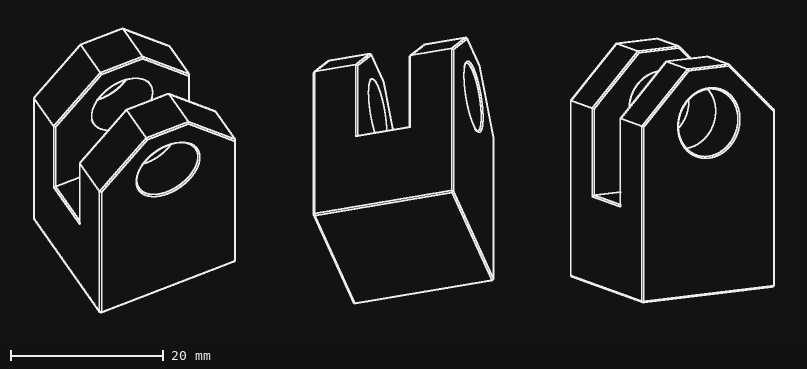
import cadquery as cq

width = 19.0
depth = 20.0
height = 30.5
edge_break = 0.2

shoulder = 6.9

slot_width = 7.0
slot_floor = 12.0

hole_diameter = 9.0
hole_height = 23.0


def lug_profile_block():
    """Block with its two upper corners cut at 45 degrees, extruded along X."""
    half_depth = depth / 2
    outline = [
        (-half_depth, 0),
        (half_depth, 0),
        (half_depth, height - shoulder),
        (half_depth - shoulder, height),
        (shoulder - half_depth, height),
        (-half_depth, height - shoulder),
    ]
    return cq.Workplane("YZ").polyline(outline).close().extrude(width / 2, both=True)


def lug_slot():
    """Slot open at the top and at both Y sides."""
    floor_plane = cq.Workplane("XY").workplane(offset=slot_floor)
    return floor_plane.rect(slot_width, depth).extrude(height - slot_floor)


def cross_hole():
    """Cylinder along X that passes through both lugs."""
    return (
        cq.Workplane("YZ")
        .center(0, hole_height)
        .circle(hole_diameter / 2)
        .extrude(width / 2, both=True)
    )


def break_edges(blank):
    """Chamfer the rims of the side faces, the base and the slot, leaving the profile bends sharp."""
    side_rims = blank.faces("<X or >X").edges()
    base_rims = blank.faces("<Z").edges("|X")
    slot_walls = blank.faces(cq.selectors.BoxSelector(
        (-slot_width, -depth, slot_floor),
        (slot_width, depth, height),
    )).faces("|X")
    slot_wall_rims = slot_walls.edges("not (|Y and <Z)")
    slot_floor_ends = blank.edges(cq.selectors.BoxSelector(
        (-slot_width / 2, -depth, slot_floor - edge_break),
        (slot_width / 2, depth, slot_floor + edge_break),
    )).edges("|X")
    rims = side_rims.add(base_rims).add(slot_wall_rims).add(slot_floor_ends)
    return rims.chamfer(edge_break)


slotted_block = break_edges(lug_profile_block().cut(lug_slot()))
drilled_block = slotted_block.cut(cross_hole())

result = drilled_block.faces("<X or >X").edges("%CIRCLE").chamfer(edge_break)